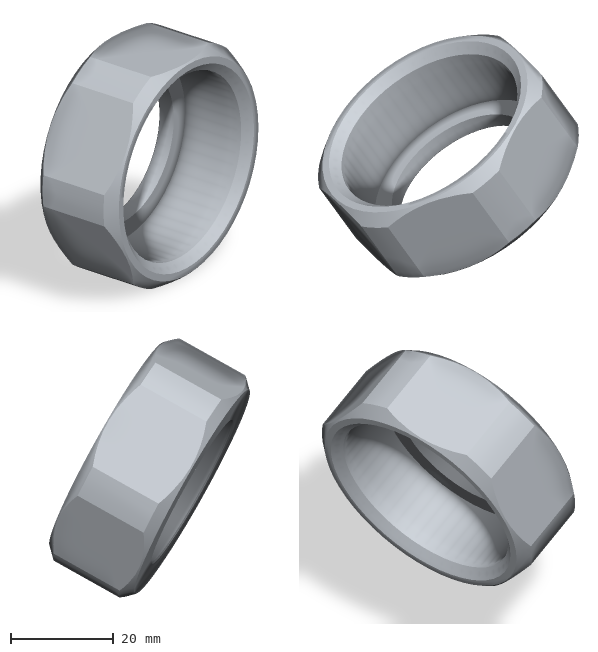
import cadquery as cq

width = 19.0
across_flats = 46.0
corner_diameter = 49.65
face_diameter = 45.4
bore_diameter = 31.5
counterbore_diameter = 38.95
land_length = 3.7
edge_break = 0.3
exit_chamfer = 1.8

corner_chamfer = (corner_diameter - face_diameter) / 2


def cylinder(diameter, start, length):
    """Cylinder along X, beginning at x = start."""
    return cq.Workplane("YZ", origin=(start, 0, 0)).circle(diameter / 2).extrude(length)


def hexagon():
    """Hexagonal prism with two flats facing +Z and -Z and corners at +Y and -Y."""
    outline = cq.Workplane("YZ", origin=(-width / 2, 0, 0)).polygon(6, across_flats, circumscribed=True)
    return outline.extrude(width).rotate((0, 0, 0), (1, 0, 0), 90)


envelope = cylinder(corner_diameter, -width / 2, width).edges().chamfer(corner_chamfer)
body = hexagon().intersect(envelope)

bore = cylinder(bore_diameter, -width / 2, width)
counterbore = cylinder(counterbore_diameter, -width / 2 + land_length, width - land_length)
body = body.cut(bore).cut(counterbore)

smallest_circle = cq.selectors.RadiusNthSelector(0)
result = body.faces("<X").edges(smallest_circle).chamfer(edge_break)
result = result.faces(">X").edges(smallest_circle).chamfer(exit_chamfer)